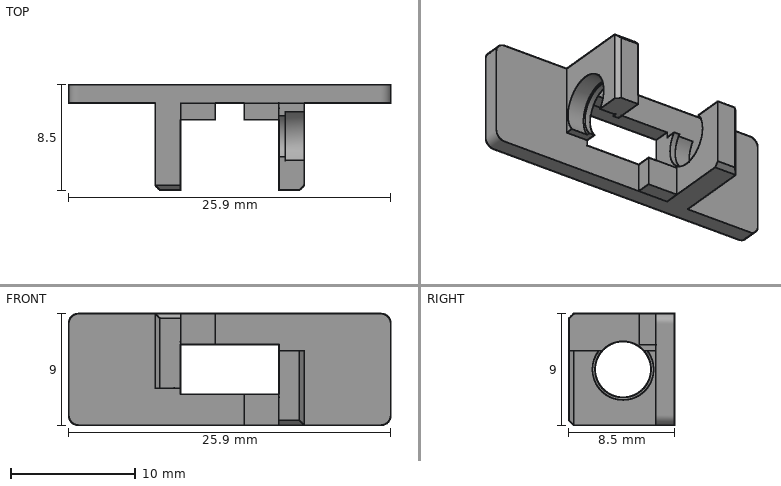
import cadquery as cq

plate_length = 25.9
plate_height = 9.0
plate_thickness = 1.5
corner_radius = 0.8

window_width = 7.9
window_height = 4.0

overall_depth = 8.5
arm_reach = overall_depth - plate_thickness
arm_thickness = 2.05
arm_height = 6.0
arm_chamfer = 0.4

bore_diameter = 4.48
counterbore_diameter = 4.92
lip_thickness = 0.52
bore_y = -2.65

block_width = 2.8
block_depth = 1.35
block_height = (plate_height - window_height) / 2

arm_inner_x = -window_width / 2
arm_outer_x = arm_inner_x - arm_thickness
top_z = plate_height / 2


def half_turn(shape):
    """Turn a shape half a revolution about the Y axis through the origin."""
    return shape.rotate((0, 0, 0), (0, 1, 0), 180)


def box_from(x, y, z, length, depth, height):
    """Box that starts at its lowest X, Y and Z corner."""
    return cq.Workplane("XY").box(length, depth, height, centered=False).translate((x, y, z))


def bore_cylinder(diameter, start_x, length):
    """Cylinder along +X on the bore axis."""
    return cq.Workplane("YZ", origin=(start_x, bore_y, 0)).circle(diameter / 2).extrude(length)


def make_plate():
    """Plate with rounded corners and a central window."""
    plate = box_from(-plate_length / 2, 0, -top_z, plate_length, plate_thickness, plate_height)
    plate = plate.edges("|Y").fillet(corner_radius)
    window = box_from(
        arm_inner_x, 0, -window_height / 2, window_width, plate_thickness, window_height
    )
    return plate.cut(window)


def make_arm():
    """Upper-left arm: its bore breaks out of its lower face, wider on the outer side."""
    arm = box_from(
        arm_outer_x, -arm_reach, top_z - arm_height, arm_thickness, arm_reach, arm_height
    )
    arm = arm.faces("<Y").edges("<X or >Z").chamfer(arm_chamfer)
    bore = bore_cylinder(bore_diameter, arm_outer_x, arm_thickness)
    counterbore = bore_cylinder(counterbore_diameter, arm_outer_x, arm_thickness - lip_thickness)
    return arm.cut(bore).cut(counterbore)


def make_bracket():
    """Plate and its two opposed arms, as one solid."""
    arm = make_arm()
    return make_plate().union(arm).union(half_turn(arm))


def make_block():
    """Upper block, in the corner between the plate and the upper-left arm."""
    return box_from(
        arm_inner_x, -block_depth, window_height / 2, block_width, block_depth, block_height
    )


bracket = make_bracket()
upper_block = make_block()
blocks = [block.val() for block in (upper_block, half_turn(upper_block))]

result = cq.Compound.makeCompound([bracket.val(), *blocks])